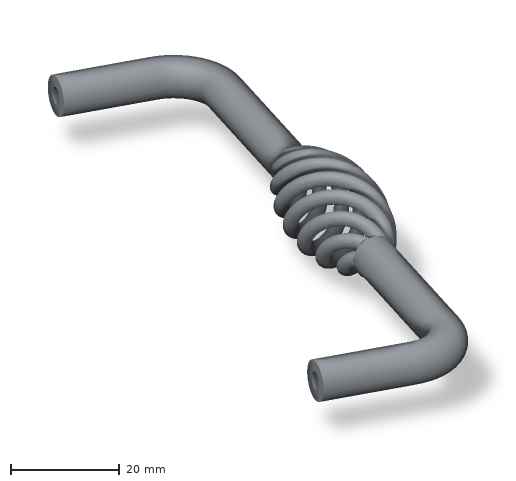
import cadquery as cq
import math

overall_length = 136.0
bar_diameter = 8.0
grip_to_foot = 29.5
bend_radius = 10.0
screw_hole_diameter = 3.5
screw_hole_depth = 13.6
drill_tip_angle = 118.0

cage_length = 40.0
cage_diameter = 19.0
strand_count = 6
strand_diameter = 2.9
cage_twist = -360.0
cage_phase = -3.0
strand_overrun = 2.0
path_spans = 12

middle_tolerance = 0.001

bar_radius = bar_diameter / 2
strand_radius = strand_diameter / 2
leg_x = overall_length / 2 - bar_radius
cage_half = cage_length / 2
middle_orbit = cage_diameter / 2 - strand_radius
end_orbit = bar_radius - strand_radius

barrel_rise = middle_orbit - end_orbit
barrel_arc_radius = (cage_half**2 + barrel_rise**2) / (2 * barrel_rise)


def half_handle():
    """Right-hand leg, bend and grip bar, with the screw hole in the foot."""
    bend_x = leg_x - bend_radius
    diagonal = bend_radius * math.sqrt(0.5)
    path = (
        cq.Workplane("XY")
        .moveTo(cage_half, 0)
        .lineTo(bend_x, 0)
        .threePointArc((bend_x + diagonal, diagonal - bend_radius), (leg_x, -bend_radius))
        .lineTo(leg_x, -grip_to_foot)
    )
    bar = cq.Workplane("YZ", origin=(cage_half, 0, 0)).circle(bar_radius).sweep(path)
    hole = cq.Solid.makeCylinder(
        screw_hole_diameter / 2,
        screw_hole_depth,
        cq.Vector(leg_x, -grip_to_foot, 0),
        cq.Vector(0, 1, 0),
    )
    tip = cq.Solid.makeCone(
        screw_hole_diameter / 2,
        0,
        screw_hole_diameter / 2 / math.tan(math.radians(drill_tip_angle / 2)),
        cq.Vector(leg_x, screw_hole_depth - grip_to_foot, 0),
        cq.Vector(0, 1, 0),
    )
    return bar.cut(cq.Workplane(hole.fuse(tip)))


def strand_point(x):
    """Point on the first strand's centreline at distance x from the cage middle."""
    orbit = middle_orbit - barrel_arc_radius + math.sqrt(barrel_arc_radius**2 - x**2)
    angle = math.radians(cage_phase + cage_twist * x / cage_length)
    return cq.Vector(x, orbit * math.cos(angle), orbit * math.sin(angle))


def half_strand():
    """Round wire twisted along the barrel, cut flat at the cage middle and at the right-hand bar."""
    reach = cage_half + strand_overrun
    step = 2 * reach / path_spans
    points = [strand_point(-reach + i * step) for i in range(path_spans + 1)]
    centreline = cq.Edge.makeSpline(points)
    section = cq.Plane(origin=points[0], normal=centreline.tangentAt(0))
    wire = cq.Workplane(section).circle(strand_radius).sweep(cq.Workplane(centreline), isFrenet=True)
    trim = cq.Workplane("XY").box(cage_half, cage_diameter * 2, cage_diameter * 2)
    return wire.intersect(trim.translate((cage_half / 2, 0, 0)))


def half_cage():
    """All half strands, evenly spaced about the grip axis and fused together."""
    first_strand = half_strand()
    strands = [
        first_strand.rotate((0, 0, 0), (1, 0, 0), index * 360 / strand_count).val()
        for index in range(strand_count)
    ]
    return strands[0].fuse(*strands[1:])


def open_skin(half):
    """Faces of one half, without the flat strand cuts at the cage middle."""
    return [face for face in half.Faces() if abs(face.Center().x) > middle_tolerance]


right_handle = half_handle().val()
left_handle = right_handle.mirror("YZ")

right_cage = half_cage()
left_cage = right_cage.rotate(cq.Vector(0, 0, 0), strand_point(0), 180)

skin = open_skin(right_handle.fuse(right_cage)) + open_skin(left_handle.fuse(left_cage))
result = cq.Workplane(cq.Solid.makeSolid(cq.Shell.makeShell(skin)))